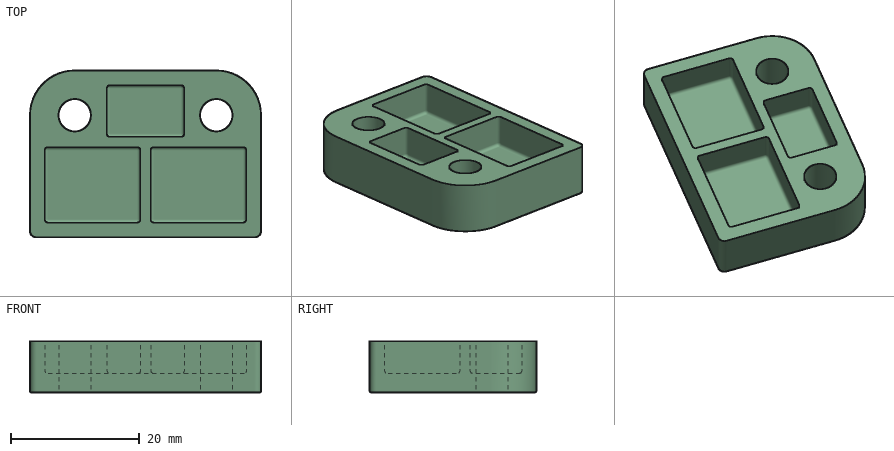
import cadquery as cq

length = 36.0
width = 26.0
height = 8.0
back_corner_radius = 7.0
front_corner_radius = 1.0
bottom_edge_radius = 0.3

hole_diameter = 5.0
hole_spacing = length - 2 * back_corner_radius
hole_y = width / 2 - back_corner_radius

rim = 2.3
web = 1.6
pocket_depth = 5.0
pocket_edge_radius = 0.5
front_pocket_length = (length - 2 * rim - web) / 2
front_pocket_width = 11.75
back_pocket_length = 12.02
back_pocket_width = width - 2 * rim - web - front_pocket_width

front_pocket_x = (front_pocket_length + web) / 2
front_pocket_y = -width / 2 + rim + front_pocket_width / 2
back_pocket_y = width / 2 - rim - back_pocket_width / 2


def make_block():
    """Plate with large back corners, small front corners and a rounded bottom edge."""
    block = cq.Workplane("XY").box(length, width, height, centered=(True, True, False))
    block = block.edges("|Z and >Y").fillet(back_corner_radius)
    block = block.edges("|Z and <Y").fillet(front_corner_radius)
    return block.faces("<Z").edges().fillet(bottom_edge_radius)


def make_pocket(x, y, pocket_length, pocket_width):
    """Pocket volume with rounded upright edges and a rounded floor edge."""
    return (
        cq.Workplane("XY", origin=(x, y, height - pocket_depth))
        .box(pocket_length, pocket_width, pocket_depth, centered=(True, True, False))
        .edges("|Z or <Z")
        .fillet(pocket_edge_radius)
    )


def make_holes():
    """Pair of cylinders running through the full height."""
    return (
        cq.Workplane("XY")
        .pushPoints([(-hole_spacing / 2, hole_y), (hole_spacing / 2, hole_y)])
        .circle(hole_diameter / 2)
        .extrude(height)
    )


result = make_block().cut(make_holes())
result = result.cut(make_pocket(0, back_pocket_y, back_pocket_length, back_pocket_width))
for side in (-1, 1):
    front_pocket = make_pocket(side * front_pocket_x, front_pocket_y, front_pocket_length, front_pocket_width)
    result = result.cut(front_pocket)